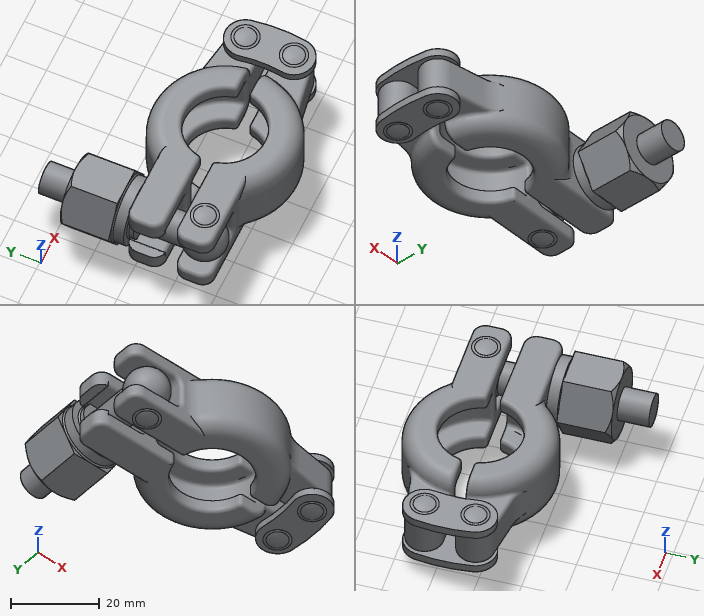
import cadquery as cq
import math

half_height = 8.5
ring_radius = 17.85
rim_fillet = 4.0
bore_radius = 9.85
groove_radius = 15.0
groove_half_height = 4.5
edge_fillet = 1.0
half_gap = 1.5

arm_width = 9.0
arm_overhang = 7.5
arm_corner_radius = 3.0
arm_web_radius = 4.5
arm_root_x = -5.0
bolt_x = -24.5
slot_end_x = -18.0
slot_corner_radius = 2.0
ball_slot_half_height = 4.5
shank_slot_half_height = 4.35
slot_lip_half_height = 4.0
slot_lip_length = 2.5

hinge_x = 24.52
lug_end_radius = 4.5
lug_half_height = 4.5
lug_taper = math.radians(9.2)
lug_web_radius = 9.5
lug_root_x = 13.0
lug_root_fillet = 0.9
link_half_width = 5.0
link_sag = 0.48
link_thickness = 2.0

rivet_radius = 2.6
rivet_head_radius = 3.3
rivet_head_gap = 0.5
rivet_head_height = 0.65

shank_radius = 3.92
shank_end_y = 33.48
ball_radius = 5.5
nut_width = 17.0
nut_hex_height = 12.5
nut_chamfer_drop = 1.1
flange_radius = 8.1
flange_thickness = 3.0
boss_radius = 6.0
boss_length = 1.5
root_flare = 0.35

arm_outer_y = half_gap + arm_width
arm_mid_y = half_gap + arm_width / 2
arm_tip_x = bolt_x - arm_overhang
hinge_y = arm_mid_y
link_top = lug_half_height + link_thickness
beyond = 50.0
tolerance = 0.01


def slab(outline, half_thickness):
    """Extrude an outline drawn on XY by the same amount up and down."""
    return outline.extrude(half_thickness, both=True)


def box_between(x_range, y_range, half_thickness):
    """Box centred on the XY plane, given by its X and Y limits."""
    size_x = x_range[1] - x_range[0]
    size_y = y_range[1] - y_range[0]
    box = cq.Workplane("XY").box(size_x, size_y, 2 * half_thickness)
    return box.translate((x_range[0] + size_x / 2, y_range[0] + size_y / 2, 0))


def is_level(edge):
    """True for an edge that lies in a horizontal plane."""
    return edge.BoundingBox().zlen < tolerance


def is_on_gap(edge):
    """True for an edge on the flat face along the gap between the halves."""
    return edge.BoundingBox().ymax < half_gap + tolerance


def is_at_bore_corner(edge):
    """True for the upright edges where the bore meets the gap."""
    box = edge.BoundingBox()
    return is_on_gap(edge) and not is_level(edge) and abs(box.center.x) < bore_radius


def is_bore_rim(edge, height):
    """True for the bore's circular edges at the given distance above or below mid-height."""
    box = edge.BoundingBox()
    at_height = abs(abs(box.center.z) - height) < tolerance
    return is_level(edge) and at_height and abs(box.ymax - bore_radius) < tolerance


def web_arc(normal, along, side_distance, web_radius):
    """Concave arc tangent to the ring and to a straight side of an arm or lug.

    The side lies side_distance from the origin along its unit normal and runs in the unit
    direction `along`. Returns the ring tangent point, the arc's middle and the side tangent point.
    """
    off_side = side_distance + web_radius
    out = math.sqrt((ring_radius + web_radius) ** 2 - off_side**2)
    centre = cq.Vector(*normal) * off_side + cq.Vector(*along) * out
    to_ring = centre.normalized() * -1
    to_side = cq.Vector(*normal) * -1
    to_middle = (to_ring + to_side).normalized()
    points = [centre + direction * web_radius for direction in (to_ring, to_middle, to_side)]
    return [(point.x, point.y) for point in points]


def bore():
    return slab(cq.Workplane("XY").circle(bore_radius), beyond)


def ring_half():
    """Half ring with a concave web running into the arm; rims and gap edges rounded."""
    ring_touch, web_middle, arm_touch = web_arc((0, 1), (-1, 0), arm_outer_y, arm_web_radius)
    outline = (
        cq.Workplane("XY")
        .moveTo(arm_touch[0], half_gap)
        .lineTo(math.sqrt(ring_radius**2 - half_gap**2), half_gap)
        .threePointArc((0, ring_radius), ring_touch)
        .threePointArc(web_middle, arm_touch)
        .close()
    )
    ring = slab(outline, half_height).edges("%CIRCLE").fillet(rim_fillet).cut(bore())

    def is_gap_edge(edge):
        return is_on_gap(edge) and edge.BoundingBox().xmax > arm_touch[0] + tolerance

    return ring.edges().filter(is_gap_edge).fillet(edge_fillet)


def arm():
    """Straight arm with a rounded tip; its root stays square inside the ring."""
    bar = box_between((arm_tip_x, arm_root_x), (half_gap, arm_outer_y), half_height)
    bar = bar.edges("|Z and <X").fillet(arm_corner_radius).cut(bore())

    def is_outside_edge(edge):
        return is_level(edge) and edge.BoundingBox().center.x < -bore_radius

    def is_rounded(edge):
        return is_outside_edge(edge) or is_at_bore_corner(edge)

    return bar.edges().filter(is_rounded).fillet(edge_fillet)


def lug():
    """Tapered hinge lug with a round end, blended into the ring by a concave web."""
    normal = (math.sin(lug_taper), math.cos(lug_taper))
    along = (math.cos(lug_taper), -math.sin(lug_taper))
    side_distance = hinge_x * normal[0] + hinge_y * normal[1] + lug_end_radius
    ring_touch, web_middle, side_touch = web_arc(normal, along, side_distance, lug_web_radius)
    end_touch = (hinge_x + lug_end_radius * normal[0], hinge_y + lug_end_radius * normal[1])
    outline = (
        cq.Workplane("XY")
        .moveTo(lug_root_x, half_gap)
        .lineTo(hinge_x, half_gap)
        .threePointArc((hinge_x + lug_end_radius, hinge_y), end_touch)
        .lineTo(*side_touch)
        .threePointArc(web_middle, ring_touch)
        .close()
    )

    def is_outside_edge(edge):
        return is_level(edge) and edge.BoundingBox().xmax > lug_root_x + tolerance

    return slab(outline, lug_half_height).edges().filter(is_outside_edge).fillet(edge_fillet)


def clamp_half():
    """One half on the +Y side, with its groove for the flanges but without a bolt slot."""

    def is_lug_root(edge):
        box = edge.BoundingBox()
        at_lug_face = abs(abs(box.center.z) - lug_half_height) < tolerance
        on_ring_side = lug_root_x < box.xmin and box.xmax < ring_radius
        return is_level(edge) and at_lug_face and on_ring_side and box.ylen > lug_end_radius

    half = ring_half().union(arm()).union(lug())
    half = half.edges().filter(lambda edge: is_bore_rim(edge, half_height)).fillet(edge_fillet)
    half = half.edges().filter(is_lug_root).fillet(lug_root_fillet)
    groove = slab(cq.Workplane("XY").circle(groove_radius), groove_half_height)
    half = half.cut(groove.edges().fillet(edge_fillet))
    return half.edges().filter(lambda edge: is_bore_rim(edge, groove_half_height)).fillet(edge_fillet)


def bolt_slot(outer_x, slot_half_height):
    """Slot across the arm from outer_x to its blind end, which has rounded corners."""
    slot = box_between((outer_x, slot_end_x), (-beyond, beyond), slot_half_height)
    return slot.edges("|Y and >X").fillet(slot_corner_radius)


def is_slot_mouth(edge, slot_half_height):
    """True for the edges where a slot breaks out of the arm's upright sides."""
    box = edge.BoundingBox()
    in_slot = max(box.zmax, -box.zmin) < slot_half_height + tolerance
    in_reach = box.xmax < slot_end_x + tolerance
    spans_arm = box.ylen > arm_width / 2 and box.xmin > arm_tip_x + tolerance
    return in_slot and in_reach and not spans_arm


def shank_half():
    """Half on the +Y side, slotted for the bolt's shank and recessed for the nut's boss."""
    lip_inner_x = arm_tip_x + slot_lip_length

    def is_gap_mouth(edge):
        on_gap_side = is_on_gap(edge) and edge.BoundingBox().xmin > lip_inner_x - tolerance
        return on_gap_side and is_slot_mouth(edge, shank_slot_half_height)

    half = clamp_half()
    half = half.cut(bolt_slot(lip_inner_x, shank_slot_half_height))
    half = half.cut(bolt_slot(-beyond, slot_lip_half_height))
    half = half.edges().filter(is_gap_mouth).fillet(edge_fillet)
    return half.cut(nut_boss())


def ball_half():
    """Half on the -Y side, forked to hold the bolt's ball."""
    half = clamp_half().cut(bolt_slot(-beyond, ball_slot_half_height))
    half = half.edges().filter(lambda edge: is_slot_mouth(edge, ball_slot_half_height)).fillet(edge_fillet)
    return half.mirror("XZ")


def rivet(x, y, seat_z):
    """Rivet through the part, with a low domed head standing just off each outer face."""
    head_base = seat_z + rivet_head_gap
    head_top = head_base + rivet_head_height
    dome_radius = (rivet_head_radius**2 + rivet_head_height**2) / (2 * rivet_head_height)
    dome_angle = math.asin(rivet_head_radius / dome_radius) / 2
    dome_middle = (
        dome_radius * math.sin(dome_angle),
        head_top - dome_radius * (1 - math.cos(dome_angle)),
    )
    upper_half = (
        cq.Workplane("XZ")
        .lineTo(rivet_radius, 0)
        .lineTo(rivet_radius, head_base)
        .lineTo(rivet_head_radius, head_base)
        .threePointArc(dome_middle, (0, head_top))
        .close()
        .revolve(360, (0, 0, 0), (0, 1, 0))
    )
    return upper_half.union(upper_half.mirror("XY")).translate((x, y, 0))


def link():
    """Upper link plate: a slot shape bowed outward around the two hinge rivets."""
    bow_radius = (hinge_y**2 + link_sag**2) / (2 * link_sag)
    bow_centre_x = hinge_x + link_sag - bow_radius
    bow_end_angle = math.asin(hinge_y / bow_radius)

    def bow_point(radius, angle):
        return (bow_centre_x + radius * math.cos(angle), radius * math.sin(angle))

    inner = bow_radius - link_half_width
    outer = bow_radius + link_half_width
    tip_x = hinge_x - link_half_width * math.sin(bow_end_angle)
    tip_y = hinge_y + link_half_width * math.cos(bow_end_angle)
    return (
        cq.Workplane("XY", origin=(0, 0, lug_half_height))
        .moveTo(*bow_point(outer, -bow_end_angle))
        .threePointArc(bow_point(outer, 0), bow_point(outer, bow_end_angle))
        .threePointArc((tip_x, tip_y), bow_point(inner, bow_end_angle))
        .threePointArc(bow_point(inner, 0), bow_point(inner, -bow_end_angle))
        .threePointArc((tip_x, -tip_y), bow_point(outer, -bow_end_angle))
        .close()
        .extrude(link_thickness)
    )


def make_clamp():
    body = shank_half().union(link()).union(link().mirror("XY")).union(ball_half())
    rivets = [
        (hinge_x, hinge_y, link_top),
        (hinge_x, -hinge_y, link_top),
        (bolt_x, -arm_mid_y, half_height),
    ]
    for x, y, seat_z in rivets:
        body = body.union(rivet(x, y, seat_z))
    return body


def along_bolt(y, radius, length):
    """Cylinder on the bolt's axis, running in +Y from y."""
    plane = cq.Workplane("XZ", origin=(bolt_x, y, 0))
    return plane.circle(radius).extrude(-length)


def make_bolt():
    """Plain shank on a ball that is flattened to fit the fork and drilled for its rivet."""
    ball = cq.Workplane("XY").sphere(ball_radius).translate((bolt_x, -arm_mid_y, 0))
    shank = along_bolt(-arm_mid_y, shank_radius, shank_end_y + arm_mid_y)
    flats = box_between((-beyond, beyond), (-beyond, beyond), ball_slot_half_height)
    rivet_hole = slab(cq.Workplane("XY").circle(rivet_radius), beyond)
    return ball.union(shank).intersect(flats).cut(rivet_hole.translate((bolt_x, -arm_mid_y, 0)))


def flared_disc(y, radius, length):
    """Disc on the bolt's axis, running in +Y from y and widened by a small flare at its far end."""
    profile = (
        cq.Workplane("XY")
        .lineTo(radius, 0)
        .lineTo(radius, length - root_flare)
        .lineTo(radius + root_flare, length)
        .lineTo(0, length)
        .close()
    )
    return profile.revolve(360, (0, 0, 0), (0, 1, 0)).translate((bolt_x, y, 0))


def nut_boss():
    """Boss that centres the nut in the arm, flared where it meets the flange."""
    return flared_disc(arm_outer_y - boss_length, boss_radius, boss_length)


def make_nut():
    """Hexagon nut with an integral round flange and a centring boss."""
    hex_base_y = arm_outer_y + flange_thickness
    hex_top_y = hex_base_y + nut_hex_height
    corner_radius = nut_width / math.sqrt(3)
    hexagon = (
        cq.Workplane("XZ", origin=(bolt_x, hex_base_y, 0))
        .polygon(6, 2 * corner_radius)
        .extrude(-nut_hex_height)
    )
    corner_cut = (
        along_bolt(hex_base_y, corner_radius, nut_hex_height)
        .faces(">Y")
        .edges()
        .chamfer(nut_chamfer_drop, corner_radius - nut_width / 2)
    )
    flange = flared_disc(arm_outer_y, flange_radius, flange_thickness)
    hole = along_bolt(-beyond, shank_radius, 2 * beyond)
    return hexagon.intersect(corner_cut).union(flange).union(nut_boss()).cut(hole)


clamp = make_clamp()
bolt = make_bolt()
nut = make_nut()

result = cq.Compound.makeCompound([clamp.val(), bolt.val(), nut.val()])